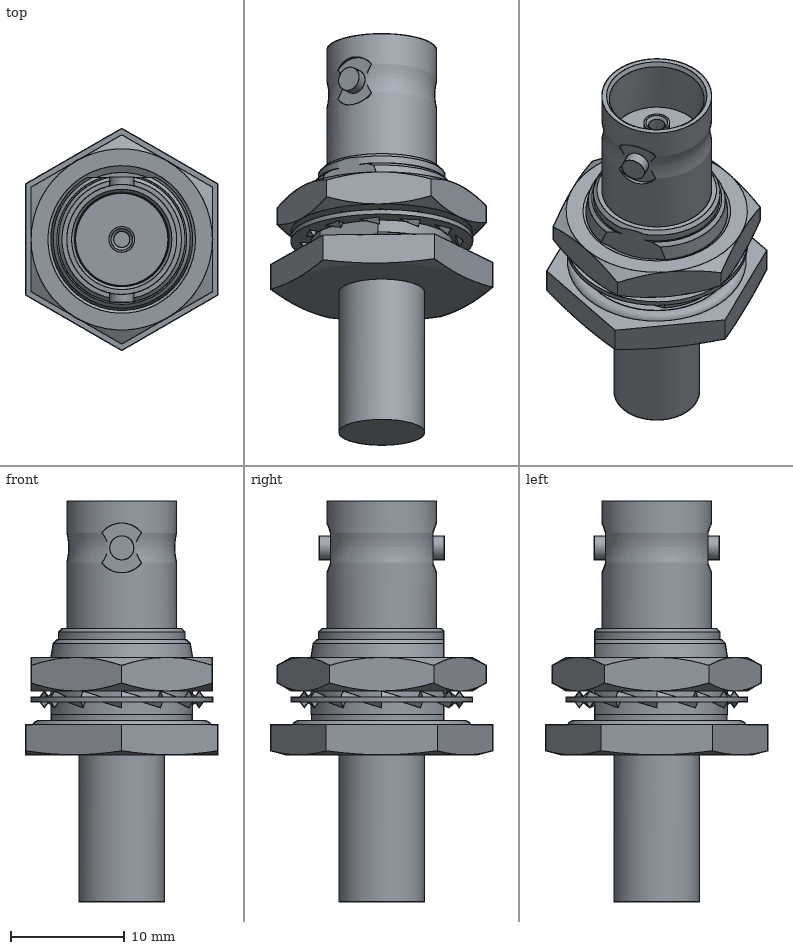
import cadquery as cq
import math

TUBE_BOTTOM = 0.0
FLANGE_BOTTOM = 13.0
FLANGE_TOP = 15.65
NECK_TOP = 16.55
NUT_BOTTOM = 18.62
NUT_TOP = 21.6
THREAD_TOP = 23.15
SHOULDER_TOP = 24.15
BARREL_TOP = 35.4

TUBE_RADIUS = 3.8
NECK_RADIUS = 6.23
THREAD_RADIUS = 6.25
THREAD_LEAD_RADIUS = 6.05
SHOULDER_RADIUS = 5.6
BARREL_RADIUS = 4.85
STEP_CHAMFER = 0.32

HEXAGON_CLEARANCE = 0.35

FLANGE_ACROSS_FLATS = 17.0
FLANGE_CHAMFER_ANGLE = 15.0

BEAD_CENTRE_RADIUS = 7.22
BEAD_SECTION_RADIUS = 0.78
BEAD_HEIGHT = 0.4

KEY_FLAT_Y = 5.5

GROOVE_BOTTOM = 29.95
GROOVE_Z = 31.33
GROOVE_TOP = 32.57
GROOVE_DEPTH = 0.16

LUG_Z = 31.25
LUG_RADIUS = 1.05
LUG_TIP_Y = 5.52
LUG_SEAT_RADIUS = 2.2
LUG_SEAT_Y = 4.53

SOCKET_RADIUS = 4.18
SOCKET_MOUTH_RADIUS = 4.42
SOCKET_MOUTH_DEPTH = 0.35
SOCKET_FLOOR_RADIUS = 4.07
SOCKET_FLOOR_Z = 30.3

CONTACT_RADIUS = 1.15
CONTACT_TOP = 32.18
CONTACT_MOUTH_RADIUS = 0.95
CONTACT_BORE_RADIUS = 0.7

NUT_ACROSS_FLATS = 16.0
NUT_CHAMFER_ANGLE = 30.0
NUT_BORE_RADIUS = 5.9
NUT_COUNTERSINK_RADIUS = 6.5

WASHER_Z = 17.88
WASHER_THICKNESS = 0.42
WASHER_RADIUS = 8.05
TOOTH_COUNT = 12
TOOTH_CREST_RADIUS = 6.83
TOOTH_HALF_WIDTH = 0.4
TOOTH_TIP_OFFSET = NUT_BOTTOM - WASHER_Z


def cylinder(radius, bottom, top):
    return cq.Workplane("XY").workplane(offset=bottom).circle(radius).extrude(top - bottom)


def revolved(points):
    """Solid of revolution about Z from (radius, height) points."""
    return cq.Workplane("XZ").polyline(points).close().revolve(360, (0, 0, 0), (0, 1, 0))


def hexagon(across_flats, bottom, top):
    """Hexagonal prism with two flats facing +X and -X."""
    across_corners = across_flats / math.cos(math.radians(30))
    prism = cq.Workplane("XY").polygon(6, across_corners).extrude(top - bottom)
    return prism.rotate((0, 0, 0), (0, 0, 1), 30).translate((0, 0, bottom))


def corner_chamfer_envelope(across_flats, angle, bottom, top, chamfer_top):
    """Envelope whose conical ends trim a hexagon's corners down to its inscribed circle."""
    inner = across_flats / 2
    outer = across_flats / math.sqrt(3) + HEXAGON_CLEARANCE
    drop = (outer - inner) * math.tan(math.radians(angle))
    points = [(0, bottom), (inner, bottom), (outer, bottom + drop)]
    if chamfer_top:
        points += [(outer, top - drop), (inner, top)]
    else:
        points += [(outer, top)]
    points += [(0, top)]
    return revolved(points)


def chamfered_hexagon(across_flats, angle, bottom, top, chamfer_top):
    envelope = corner_chamfer_envelope(across_flats, angle, bottom, top, chamfer_top)
    return hexagon(across_flats, bottom, top).intersect(envelope)



def make_stem():
    """Turned neck, thread and stepped shoulder, with the keying flat on the +Y side."""
    stem = revolved([
        (0, FLANGE_TOP),
        (NECK_RADIUS, FLANGE_TOP),
        (NECK_RADIUS, NECK_TOP),
        (THREAD_RADIUS, NECK_TOP),
        (THREAD_RADIUS, NUT_TOP),
        (THREAD_LEAD_RADIUS, THREAD_TOP - STEP_CHAMFER),
        (THREAD_LEAD_RADIUS - STEP_CHAMFER, THREAD_TOP),
        (SHOULDER_RADIUS, THREAD_TOP),
        (SHOULDER_RADIUS, SHOULDER_TOP - STEP_CHAMFER),
        (SHOULDER_RADIUS - STEP_CHAMFER, SHOULDER_TOP),
        (0, SHOULDER_TOP),
    ])
    height = SHOULDER_TOP - FLANGE_TOP
    beyond_flat = (
        cq.Workplane("XY")
        .box(2 * THREAD_RADIUS, THREAD_RADIUS, height, centered=(True, False, False))
        .translate((0, KEY_FLAT_Y, FLANGE_TOP))
    )
    return stem.cut(beyond_flat)


def make_bead():
    """Sealing bead: a ring of round section sunk into the flange, with its crest standing proud."""
    half_width = math.sqrt(BEAD_HEIGHT * (2 * BEAD_SECTION_RADIUS - BEAD_HEIGHT))
    return (
        cq.Workplane("XZ")
        .moveTo(BEAD_CENTRE_RADIUS - half_width, FLANGE_TOP)
        .threePointArc(
            (BEAD_CENTRE_RADIUS, FLANGE_TOP + BEAD_HEIGHT), (BEAD_CENTRE_RADIUS + half_width, FLANGE_TOP)
        )
        .close()
        .revolve(360, (0, 0, 0), (0, 1, 0))
    )


def groove_arc_middle(half_width):
    """Middle point of an arc that leaves the groove's deepest circle parallel to the axis."""
    arc_radius = (half_width**2 + GROOVE_DEPTH**2) / (2 * GROOVE_DEPTH)
    half_angle = math.asin(half_width / arc_radius) / 2
    radius = BARREL_RADIUS - GROOVE_DEPTH + arc_radius * (1 - math.cos(half_angle))
    offset = arc_radius * math.sin(half_angle)
    return radius, offset


def make_barrel_groove():
    """Shallow groove of two unequal arcs that meet smoothly at the deepest circle."""
    lower_radius, lower_offset = groove_arc_middle(GROOVE_Z - GROOVE_BOTTOM)
    upper_radius, upper_offset = groove_arc_middle(GROOVE_TOP - GROOVE_Z)
    return (
        cq.Workplane("XZ")
        .moveTo(BARREL_RADIUS, GROOVE_BOTTOM)
        .threePointArc(
            (lower_radius, GROOVE_Z - lower_offset), (BARREL_RADIUS - GROOVE_DEPTH, GROOVE_Z)
        )
        .threePointArc((upper_radius, GROOVE_Z + upper_offset), (BARREL_RADIUS, GROOVE_TOP))
        .close()
        .revolve(360, (0, 0, 0), (0, 1, 0))
    )


def make_cross_cylinder(radius, half_length):
    """Cylinder along Y through the barrel axis at lug height."""
    disc = cq.Workplane("XZ").center(0, LUG_Z).circle(radius)
    return disc.extrude(half_length, both=True)


def make_socket():
    return revolved([
        (0, SOCKET_FLOOR_Z),
        (SOCKET_FLOOR_RADIUS, SOCKET_FLOOR_Z),
        (SOCKET_RADIUS, BARREL_TOP - SOCKET_MOUTH_DEPTH),
        (SOCKET_MOUTH_RADIUS, BARREL_TOP),
        (0, BARREL_TOP),
    ])


def make_contact():
    """Tubular centre contact with a countersunk mouth."""
    mouth_depth = CONTACT_MOUTH_RADIUS - CONTACT_BORE_RADIUS
    return revolved([
        (CONTACT_BORE_RADIUS, SOCKET_FLOOR_Z),
        (CONTACT_RADIUS, SOCKET_FLOOR_Z),
        (CONTACT_RADIUS, CONTACT_TOP),
        (CONTACT_MOUTH_RADIUS, CONTACT_TOP),
        (CONTACT_BORE_RADIUS, CONTACT_TOP - mouth_depth),
    ])


def make_barrel():
    barrel = cylinder(BARREL_RADIUS, SHOULDER_TOP, BARREL_TOP).cut(make_barrel_groove())
    lug_seats = make_cross_cylinder(LUG_SEAT_RADIUS, LUG_TIP_Y).cut(
        cq.Workplane("XY").box(2 * BARREL_RADIUS, 2 * LUG_SEAT_Y, 2 * BARREL_TOP)
    )
    lugs = make_cross_cylinder(LUG_RADIUS, LUG_TIP_Y)
    return barrel.cut(lug_seats).union(lugs).cut(make_socket()).union(make_contact())


def make_body(nut):
    flange = chamfered_hexagon(
        FLANGE_ACROSS_FLATS, FLANGE_CHAMFER_ANGLE, FLANGE_BOTTOM, FLANGE_TOP, chamfer_top=False
    )
    body = (
        cylinder(TUBE_RADIUS, TUBE_BOTTOM, FLANGE_BOTTOM)
        .union(flange)
        .union(make_bead())
        .union(make_stem())
        .union(make_barrel())
    )
    return body.cut(nut)



def make_nut():
    blank = chamfered_hexagon(
        NUT_ACROSS_FLATS, NUT_CHAMFER_ANGLE, NUT_BOTTOM, NUT_TOP, chamfer_top=True
    )
    countersink_width = NUT_COUNTERSINK_RADIUS - NUT_BORE_RADIUS
    countersink_depth = countersink_width * math.tan(math.radians(NUT_CHAMFER_ANGLE))
    bore = revolved([
        (0, NUT_BOTTOM),
        (NUT_BORE_RADIUS, NUT_BOTTOM),
        (NUT_BORE_RADIUS, NUT_TOP - countersink_depth),
        (NUT_COUNTERSINK_RADIUS, NUT_TOP),
        (0, NUT_TOP),
    ])
    return blank.cut(bore)



def polar_point(radius, degrees, z):
    angle = math.radians(degrees)
    return cq.Vector(radius * math.cos(angle), radius * math.sin(angle), z)


def make_tooth(start, side):
    """Ramp tooth on one face: a triangular end at the start angle, tapering to a point.

    side is +1 for the upper face, whose teeth run counterclockwise, and -1 for the lower face.
    """
    face_z = WASHER_Z + side * WASHER_THICKNESS / 2
    ramp_angle = 360 / TOOTH_COUNT / 2
    inner = polar_point(TOOTH_CREST_RADIUS - TOOTH_HALF_WIDTH, start, face_z)
    outer = polar_point(TOOTH_CREST_RADIUS + TOOTH_HALF_WIDTH, start, face_z)
    tip = polar_point(TOOTH_CREST_RADIUS, start, WASHER_Z + side * TOOTH_TIP_OFFSET)
    tail = polar_point(TOOTH_CREST_RADIUS, start + side * ramp_angle, face_z)
    triangles = [(inner, outer, tip), (inner, outer, tail), (outer, tip, tail), (tip, inner, tail)]
    faces = [cq.Face.makeFromWires(cq.Wire.makePolygon(corners, close=True)) for corners in triangles]
    return cq.Workplane("XY").add(cq.Solid.makeSolid(cq.Shell.makeShell(faces)))


def make_washer():
    half = WASHER_THICKNESS / 2
    washer = cylinder(WASHER_RADIUS, WASHER_Z - half, WASHER_Z + half)
    washer = washer.cut(cylinder(THREAD_RADIUS, WASHER_Z - half, WASHER_Z + half))
    for index in range(TOOTH_COUNT):
        start = index * 360 / TOOTH_COUNT
        for side in (1, -1):
            washer = washer.union(make_tooth(start, side))
    return washer


nut = make_nut()
washer = make_washer()
body = make_body(nut)

result = cq.Compound.makeCompound([body.val(), nut.val(), washer.val()])